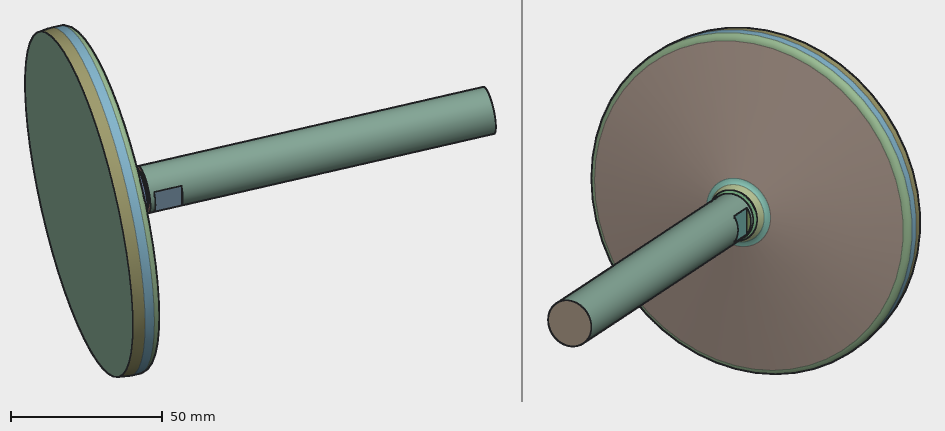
import cadquery as cq
import math


foot_diameter = 118.0
stud_diameter = 16.0
overall_height = 142.0

foot_radius = foot_diameter / 2
floor_radius = 58.5
taper_height = 4.0
rim_wall_top = 7.2
rim_round = 2.5
top_cone_angle = 9.6
hub_cone_angle = 45.0
hub_fillet = 3.5
hub_top_radius = 8.0
hub_top_height = 20.2
lip_radius = 8.8
lip_height = 21.0
foot_top_height = 21.8

stud_radius = stud_diameter / 2
neck_radius = 6.2
shoulder_height = 22.3
flat_width = 13.0
flat_bottom = 24.0
flat_length = 9.5


def arc_point(center, radius, angle):
    """Point on a circle, at an angle in radians from the radial direction."""
    return (
        center[0] + radius * math.cos(angle),
        center[1] + radius * math.sin(angle),
    )


def make_foot():
    """Revolved foot: tapered rim, rounded edge, shallow cone, hub and lip."""
    top_slope = math.radians(top_cone_angle)
    hub_slope = math.radians(hub_cone_angle)
    quarter_turn = math.pi / 2

    rim_center = (foot_radius - rim_round, rim_wall_top)
    rim_end_angle = quarter_turn - top_slope
    rim_middle = arc_point(rim_center, rim_round, rim_end_angle / 2)
    cone_edge = arc_point(rim_center, rim_round, rim_end_angle)

    rise_at_hub = (cone_edge[0] - hub_top_radius) * math.tan(top_slope)
    height_gap = hub_top_height - cone_edge[1] - rise_at_hub
    corner_radius = hub_top_radius + height_gap / (math.tan(hub_slope) - math.tan(top_slope))
    corner_height = hub_top_height - (corner_radius - hub_top_radius) * math.tan(hub_slope)

    tangent_length = hub_fillet * math.tan((hub_slope - top_slope) / 2)
    fillet_start = (
        corner_radius + tangent_length * math.cos(top_slope),
        corner_height - tangent_length * math.sin(top_slope),
    )
    fillet_center = (
        fillet_start[0] + hub_fillet * math.sin(top_slope),
        fillet_start[1] + hub_fillet * math.cos(top_slope),
    )
    facing_down = -quarter_turn
    fillet_middle = arc_point(fillet_center, hub_fillet, facing_down - (top_slope + hub_slope) / 2)
    fillet_end = arc_point(fillet_center, hub_fillet, facing_down - hub_slope)

    return (
        cq.Workplane("XY")
        .moveTo(0, 0)
        .lineTo(floor_radius, 0)
        .lineTo(foot_radius, taper_height)
        .lineTo(foot_radius, rim_wall_top)
        .threePointArc(rim_middle, cone_edge)
        .lineTo(*fillet_start)
        .threePointArc(fillet_middle, fillet_end)
        .lineTo(hub_top_radius, hub_top_height)
        .lineTo(lip_radius, lip_height)
        .lineTo(neck_radius, foot_top_height)
        .lineTo(0, foot_top_height)
        .close()
        .revolve(360, (0, 0, 0), (0, 1, 0))
    )


def make_stud():
    """Round stud on a short neck, with two wrench flats facing -X and +X."""
    stud = (
        cq.Workplane("XY")
        .moveTo(0, foot_top_height)
        .lineTo(neck_radius, foot_top_height)
        .lineTo(neck_radius, shoulder_height)
        .lineTo(stud_radius, shoulder_height)
        .lineTo(stud_radius, overall_height)
        .lineTo(0, overall_height)
        .close()
        .revolve(360, (0, 0, 0), (0, 1, 0))
    )
    for side in (-1, 1):
        flat_cutter = (
            cq.Workplane("XY")
            .box(stud_radius, flat_length, stud_diameter)
            .translate((side * (flat_width + stud_radius) / 2, flat_bottom + flat_length / 2, 0))
        )
        stud = stud.cut(flat_cutter)
    return stud


foot = make_foot()
stud = make_stud()

result = cq.Compound.makeCompound([foot.val(), stud.val()])